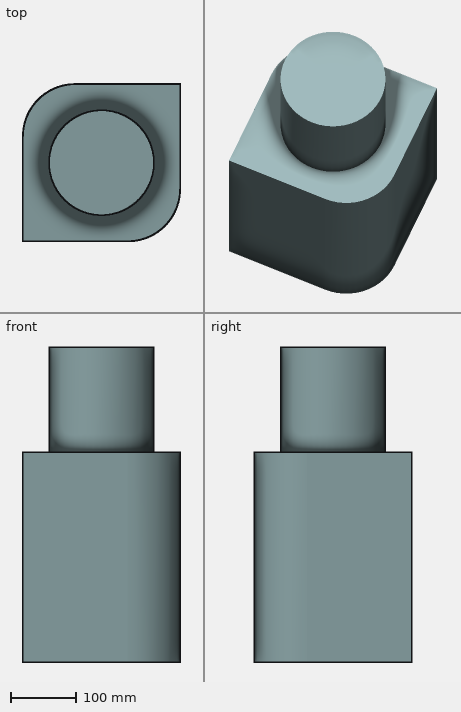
import cadquery as cq

total_height = 484.0
body_width = 242.0
pin_diameter = 161.0
pin_height = 161.0
corner_radius = 81.0

body_height = total_height - pin_height

body = (
    cq.Workplane("XY")
    .rect(body_width, body_width)
    .extrude(body_height)
)
for rounded_corner in ("<X and >Y", ">X and <Y"):
    body = body.edges("|Z").edges(rounded_corner).fillet(corner_radius)

pin = (
    cq.Workplane("XY")
    .workplane(offset=body_height)
    .circle(pin_diameter / 2)
    .extrude(pin_height)
)

result = body.union(pin)